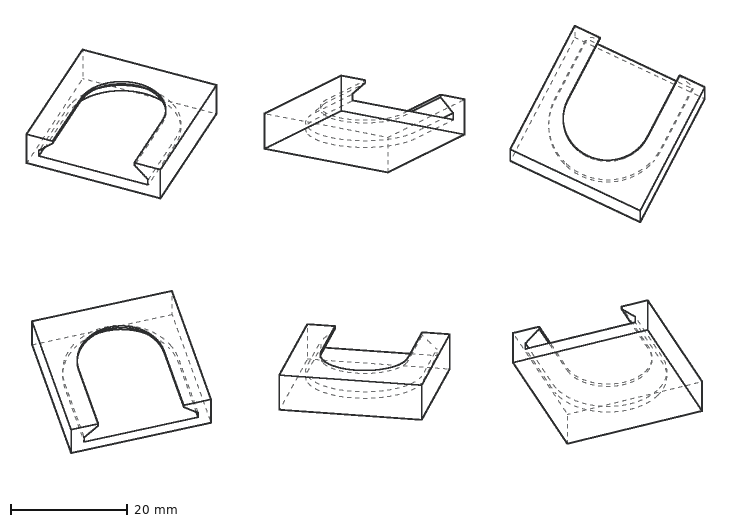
import cadquery as cq

side = 25.0
height = 6.4

floor_z = 2.3
lower_wall_height = 1.2
lip_height = 0.5
mouth_radius = 7.62
floor_radius = 10.18

wall_top_z = floor_z + lower_wall_height
lip_z = height - lip_height
front_y = -side / 2

block = cq.Workplane("XY").box(side, side, height, centered=(True, True, False))

half_section = [
    (0, floor_z),
    (floor_radius, floor_z),
    (floor_radius, wall_top_z),
    (mouth_radius, lip_z),
    (mouth_radius, height),
    (0, height),
]

rounded_end = cq.Workplane("XZ").polyline(half_section).close().revolve(360, (0, 0), (0, 1))

mirrored_half = [(-x, z) for x, z in reversed(half_section[1:-1])]
full_section = half_section[1:-1] + mirrored_half
straight_run = cq.Workplane("XZ").polyline(full_section).close().extrude(-front_y)

result = block.cut(rounded_end).cut(straight_run)